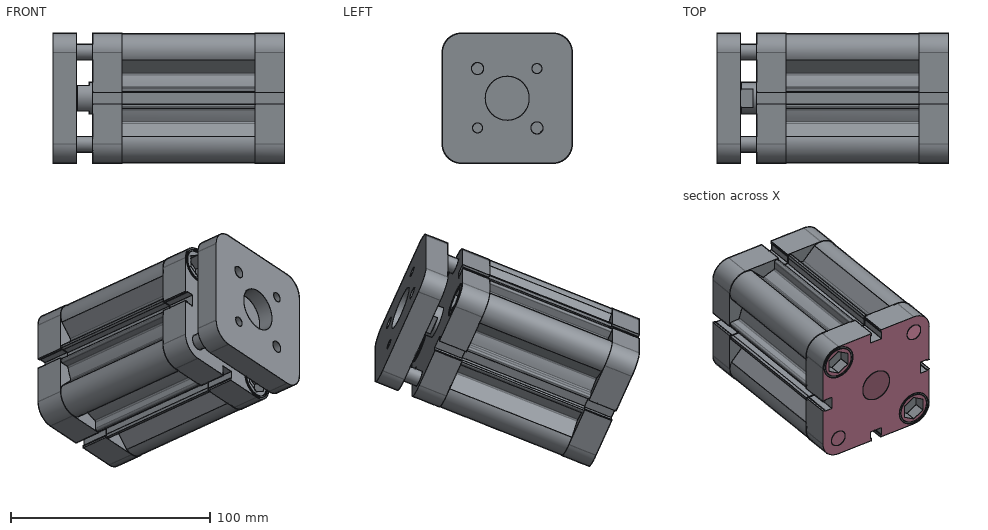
import cadquery as cq
import math


length = 116.5
plate_thickness = 12.0
plate_gap = 8.0
cap_thickness = 14.8
cap_front = plate_thickness + plate_gap
tube_start = cap_front + cap_thickness
tube_end = length - cap_thickness

width = 65.5
half_width = width / 2
corner_radius = 9.7
corner_center = half_width - corner_radius

pocket_diameter = 22.1
pocket_depth = 8.0
plate_hole_offset = 14.9
large_hole_diameter = 6.0
small_hole_diameter = 5.0

barrel_radius = 27.5
lobe_radius = 9.4
lobe_edge = 19.2
flank_slope = 1.0
flank_width = 8.2
rib_half_width = 5.2
rib_top = 32.4
rib_top_fillet = 1.0
foot_fillet = 0.8
edge_tolerance = 0.01

slot_floor = 27.3
tube_slot_floor = 27.5
tube_slot_half_width = 2.8
tube_chamfer_width = 0.5
tube_chamfer_height = 1.4
cap_slot_half_width = 3.3
cap_lip_half_width = 2.8
cap_lip_thickness = 1.4

screw_head_radius = 7.9
counterbore_radius = 8.7
counterbore_depth = 0.3
socket_across_flats = 11.1
socket_depth = 6.0
half_hex_angle = 30

piston_rod_diameter = 16.1
flat_half_height = 6.5
flat_length = 6.3
rod_end_chamfer = 0.3
guide_rod_diameter = 8.0
guide_offset = 23.2
rod_seat_depth = cap_thickness
rod_length = plate_gap + rod_seat_depth

guide_corners = [(-guide_offset, guide_offset), (guide_offset, -guide_offset)]
screw_corners = [(corner_center, corner_center), (-corner_center, -corner_center)]
quarter_turns = [0, 90, 180, 270]


def section_at(x):
    """Sketch plane across the axis: local x is Y, local y is Z, and it extrudes toward +X."""
    return cq.Workplane("YZ", origin=(x, 0, 0))


def around_axis(shape, angle):
    return shape.rotate((0, 0, 0), (1, 0, 0), angle)


def rounded_block(x, thickness):
    return section_at(x).rect(width, width).extrude(thickness).edges("|X").fillet(corner_radius)


def upper_slot(x, depth, half_width_of_slot, floor, top):
    return (
        section_at(x)
        .center(0, (floor + top) / 2)
        .rect(2 * half_width_of_slot, top - floor)
        .extrude(depth)
    )


def make_plate():
    plate = rounded_block(0, plate_thickness)
    plate = plate.cut(section_at(0).circle(pocket_diameter / 2).extrude(pocket_depth))
    offset = plate_hole_offset
    for diameter, places in [
        (large_hole_diameter, [(offset, offset), (-offset, -offset)]),
        (small_hole_diameter, [(-offset, offset), (offset, -offset)]),
    ]:
        holes = section_at(0).pushPoints(places).circle(diameter / 2).extrude(plate_thickness)
        plate = plate.cut(holes)
    return plate


def make_lobe(tube_length):
    """Round corner lobe with two slanted flanks that sink into the barrel."""
    rise = math.sqrt(lobe_radius**2 - (corner_center - lobe_edge) ** 2)
    lobe_out = corner_center + rise
    lobe_crest = corner_center + lobe_radius * math.sqrt(0.5)
    foot_side = lobe_edge - flank_width
    foot_out = lobe_out - flank_slope * flank_width
    return (
        section_at(tube_start)
        .lineTo(foot_out, foot_side)
        .lineTo(lobe_out, lobe_edge)
        .threePointArc((lobe_crest, lobe_crest), (lobe_edge, lobe_out))
        .lineTo(foot_side, foot_out)
        .close()
        .extrude(tube_length)
    )


def is_on_barrel(edge):
    center = edge.Center()
    return math.isclose(math.hypot(center.y, center.z), barrel_radius, abs_tol=edge_tolerance)


def make_tube():
    tube_length = tube_end - tube_start
    tube = section_at(tube_start).circle(barrel_radius).extrude(tube_length)
    lobe = make_lobe(tube_length)
    rib = upper_slot(tube_start, tube_length, rib_half_width, 0, rib_top)
    rib = rib.edges("|X and >Z").fillet(rib_top_fillet)
    for angle in quarter_turns:
        tube = tube.union(around_axis(lobe, angle)).union(around_axis(rib, angle))
    tube = tube.newObject(tube.edges("|X").filter(is_on_barrel).vals()).fillet(foot_fillet)

    slot = upper_slot(tube_start, tube_length, tube_slot_half_width, tube_slot_floor, half_width)
    mouth = (
        section_at(tube_start)
        .moveTo(-tube_slot_half_width, rib_top - tube_chamfer_height)
        .lineTo(tube_slot_half_width, rib_top - tube_chamfer_height)
        .lineTo(tube_slot_half_width + tube_chamfer_width, rib_top)
        .lineTo(-tube_slot_half_width - tube_chamfer_width, rib_top)
        .close()
        .extrude(tube_length)
    )
    for angle in quarter_turns:
        tube = tube.cut(around_axis(slot, angle)).cut(around_axis(mouth, angle))
    return tube


def make_cap(x):
    cap = rounded_block(x, cap_thickness)
    lip_bottom = half_width - cap_lip_thickness
    slot = upper_slot(x, cap_thickness, cap_slot_half_width, slot_floor, lip_bottom)
    mouth = upper_slot(x, cap_thickness, cap_lip_half_width, lip_bottom, half_width)
    for angle in quarter_turns:
        cap = cap.cut(around_axis(slot, angle)).cut(around_axis(mouth, angle))
    return cap


def make_housing():
    housing = make_cap(cap_front).union(make_tube()).union(make_cap(tube_end))
    front = section_at(cap_front)
    ring = (
        front.pushPoints(screw_corners)
        .circle(counterbore_radius)
        .circle(screw_head_radius)
        .extrude(counterbore_depth)
    )
    socket_corner_diameter = socket_across_flats / math.cos(math.radians(half_hex_angle))
    socket = cq.Workplane("YZ").polygon(6, socket_corner_diameter).extrude(socket_depth)
    socket = around_axis(socket, half_hex_angle)
    housing = housing.cut(ring)
    for y, z in screw_corners:
        housing = housing.cut(socket.translate((cap_front, y, z)))
    rod_seat = front.circle(piston_rod_diameter / 2).extrude(rod_seat_depth)
    guide_seats = front.pushPoints(guide_corners).circle(guide_rod_diameter / 2).extrude(rod_seat_depth)
    return housing.cut(rod_seat).cut(guide_seats)


def make_piston_rod():
    """Round rod with two wrench flats, up and down, at its plate end."""
    rod = section_at(plate_thickness).circle(piston_rod_diameter / 2).extrude(rod_length)
    rod = rod.faces("<X").chamfer(rod_end_chamfer)
    removed_height = piston_rod_diameter / 2
    offset = flat_half_height + removed_height / 2
    flats = (
        section_at(plate_thickness)
        .pushPoints([(0, offset), (0, -offset)])
        .rect(piston_rod_diameter, removed_height)
        .extrude(flat_length)
    )
    return rod.cut(flats)


def make_guide_rod(y, z):
    return section_at(plate_thickness).center(y, z).circle(guide_rod_diameter / 2).extrude(rod_length)


plate = make_plate()
housing = make_housing()
piston_rod = make_piston_rod()
guide_rods = [make_guide_rod(y, z) for y, z in guide_corners]

result = cq.Compound.makeCompound(
    [plate.val(), housing.val(), piston_rod.val(), *[rod.val() for rod in guide_rods]]
)